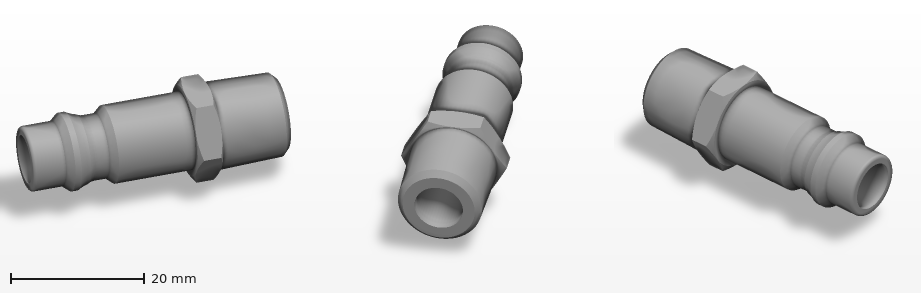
import cadquery as cq
import math

plug_end = 5.0
collar_start = 6.2
collar_end = 7.17
flare_middle = 8.83
flare_end = 9.8
body_start = 13.0
hex_start = 25.0
hex_end = 29.0
gauge_plane = 34.0
total_length = 40.0

plug_radius = 5.0
body_radius = 6.0
flare_middle_radius = 5.33
bore_radius = 3.7
tip_fillet = 0.5

upper_flare_bow = 0.1
lower_flare_bow = 0.08

across_flats = 14.0
across_corners = across_flats / math.cos(math.radians(30))
hex_face_diameter = 13.9
hex_chamfer_angle = 30.0
rim_clearance = 1.0

gauge_radius = 13.157 / 2
radial_taper = 1 / 32
thread_chamfer = 0.9

shoulder_length = collar_start - plug_end
groove_end = body_start - shoulder_length


def thread_radius(y):
    """Radius of the tapered thread envelope at station y."""
    return gauge_radius - (y - gauge_plane) * radial_taper


def bowed_middle(start, end, bow):
    """Mid-point of an arc from start to end, bowed toward the axis; radius falls from start to end."""
    dr = end[0] - start[0]
    dy = end[1] - start[1]
    chord = math.hypot(dr, dy)
    mid_r = (start[0] + end[0]) / 2 - bow * abs(dy) / chord
    mid_y = (start[1] + end[1]) / 2 + bow * abs(dr) / chord
    return mid_r, mid_y


def make_turned_body():
    """Revolve the plug, collar, groove, shank and thread about the Y axis."""
    tip_arc_middle = (
        plug_radius - tip_fillet * (1 - math.cos(math.radians(45))),
        tip_fillet * (1 - math.sin(math.radians(45))),
    )
    collar_corner = (body_radius, collar_end)
    flare_joint = (flare_middle_radius, flare_middle)
    flare_foot = (plug_radius, flare_end)
    chamfer_start = total_length - thread_chamfer
    thread_small_radius = thread_radius(chamfer_start)
    profile = (
        cq.Workplane("XY")
        .moveTo(0, 0)
        .lineTo(plug_radius - tip_fillet, 0)
        .threePointArc(tip_arc_middle, (plug_radius, tip_fillet))
        .lineTo(plug_radius, plug_end)
        .lineTo(body_radius, collar_start)
        .lineTo(*collar_corner)
        .threePointArc(bowed_middle(collar_corner, flare_joint, upper_flare_bow), flare_joint)
        .threePointArc(bowed_middle(flare_joint, flare_foot, lower_flare_bow), flare_foot)
        .lineTo(plug_radius, groove_end)
        .lineTo(body_radius, body_start)
        .lineTo(body_radius, hex_end)
        .lineTo(thread_radius(hex_end), hex_end)
        .lineTo(thread_small_radius, chamfer_start)
        .lineTo(thread_small_radius - thread_chamfer, total_length)
        .lineTo(0, total_length)
        .close()
    )
    return profile.revolve(360, (0, 0, 0), (0, 1, 0))


def make_hexagon():
    """Hexagon with corners on the X axis and both faces chamfered."""
    width = hex_end - hex_start
    prism = (
        cq.Workplane("XZ", origin=(0, hex_start, 0))
        .polygon(6, across_corners)
        .extrude(-width)
    )
    face_radius = hex_face_diameter / 2
    rim_radius = across_corners / 2 + rim_clearance
    chamfer_depth = (rim_radius - face_radius) * math.tan(math.radians(hex_chamfer_angle))
    envelope = (
        cq.Workplane("XY")
        .moveTo(0, hex_start)
        .lineTo(face_radius, hex_start)
        .lineTo(rim_radius, hex_start + chamfer_depth)
        .lineTo(rim_radius, hex_end - chamfer_depth)
        .lineTo(face_radius, hex_end)
        .lineTo(0, hex_end)
        .close()
        .revolve(360, (0, 0, 0), (0, 1, 0))
    )
    return prism.intersect(envelope)


def make_bore():
    """Straight through bore."""
    return cq.Workplane("XZ").circle(bore_radius).extrude(-total_length)


result = make_turned_body().union(make_hexagon()).cut(make_bore())